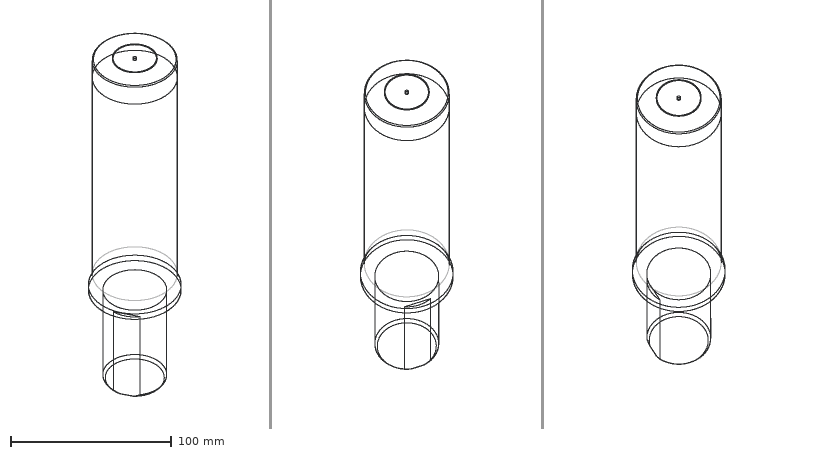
import cadquery as cq
import math

total_height = 257.5

shank_diameter = 40.0
shank_chamfer_width = 1.5
shank_chamfer_height = 2.3
flat_width = 17.5
flat_top = 65.1

flange_diameter = 58.0
flange_bottom = 70.5
flange_top = 75.0
flare_top = 83.7

column_diameter = 53.0
cap_bottom = 241.8
cap_chamfer_width = 0.8
cap_chamfer_height = 0.8
crown_height = 1.3

ring_outer_diameter = 28.0
ring_width = 0.5
ring_depth = 0.3
center_hole_diameter = 2.3
center_hole_depth = 1.3

shank_radius = shank_diameter / 2
flange_radius = flange_diameter / 2
column_radius = column_diameter / 2


def cylinder(diameter, bottom, top):
    """Upright cylinder on the Z axis."""
    return cq.Workplane("XY").workplane(offset=bottom).circle(diameter / 2).extrude(top - bottom)


def flare_midpoint():
    """Point halfway along the flare arc, which leaves the column wall tangentially."""
    rise = flare_top - flange_top
    spread = flange_radius - column_radius
    arc_radius = (rise**2 + spread**2) / (2 * spread)
    half_angle = math.asin(rise / arc_radius) / 2
    radius = column_radius + arc_radius * (1 - math.cos(half_angle))
    return radius, flare_top - arc_radius * math.sin(half_angle)


def make_post():
    """Shank, flange and column turned in one piece, with a flat milled on the shank."""
    post = (
        cq.Workplane("XZ")
        .lineTo(shank_radius - shank_chamfer_width, 0)
        .lineTo(shank_radius, shank_chamfer_height)
        .lineTo(shank_radius, flange_bottom)
        .lineTo(flange_radius, flange_bottom)
        .lineTo(flange_radius, flange_top)
        .threePointArc(flare_midpoint(), (column_radius, flare_top))
        .lineTo(column_radius, cap_bottom)
        .lineTo(0, cap_bottom)
        .close()
        .revolve(360, (0, 0), (0, 1))
    )
    flat_distance = math.sqrt(shank_radius**2 - (flat_width / 2) ** 2)
    flat_cutter = cq.Workplane("XY").box(
        shank_diameter, shank_radius, flat_top, centered=(True, False, False)
    ).translate((0, -flat_distance - shank_radius, 0))
    return post.cut(flat_cutter)


def make_cap():
    """Disc with a chamfered rim and a domed crown carrying a ring groove and a centre hole."""
    crown_radius = column_radius - cap_chamfer_width
    crown_edge = total_height - crown_height
    sphere_radius = (crown_radius**2 + crown_height**2) / (2 * crown_height)
    middle = crown_radius / 2
    middle_height = total_height - sphere_radius + math.sqrt(sphere_radius**2 - middle**2)
    cap = (
        cq.Workplane("XZ")
        .moveTo(0, cap_bottom)
        .lineTo(column_radius, cap_bottom)
        .lineTo(column_radius, crown_edge - cap_chamfer_height)
        .lineTo(crown_radius, crown_edge)
        .threePointArc((middle, middle_height), (0, total_height))
        .close()
        .revolve(360, (0, 0), (0, 1))
    )
    ring_inner_diameter = ring_outer_diameter - 2 * ring_width
    ring_bottom = total_height - crown_height / 4 - ring_depth
    ring = cylinder(ring_outer_diameter, ring_bottom, total_height).cut(
        cylinder(ring_inner_diameter, ring_bottom, total_height)
    )
    center_hole = cylinder(center_hole_diameter, total_height - center_hole_depth, total_height)
    return cap.cut(ring).cut(center_hole)


post = make_post()
cap = make_cap()

result = cq.Compound.makeCompound([post.val(), cap.val()])